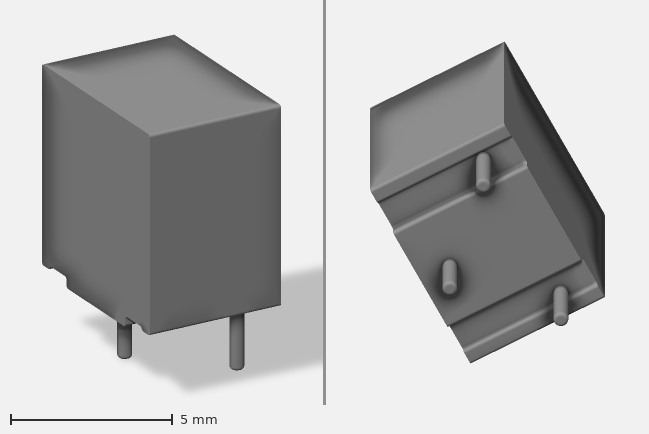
import cadquery as cq
import math

total_height = 8.87
body_width = 6.6
body_depth = 4.7

plinth_bottom = 1.89
foot_bottom = 2.13
recess_top = 2.25

half_width = body_width / 2
plinth_half_width = 1.8
foot_step_x = 2.8
edge_radius = 0.1

pin_diameter = 0.46
pin_tip_radius = 0.115
pin_pitch = 2.54
pin_row_offset = -0.05

step_rise = recess_top - foot_bottom
step_run = math.sqrt(step_rise * (4 * edge_radius - step_rise))
step_arc_half_angle = math.atan2(step_rise, step_run)


def make_half_housing():
    """Right half of the housing (X >= 0), extruded along Y."""
    step_inner_x = foot_step_x - step_run / 2
    step_outer_x = foot_step_x + step_run / 2
    step_middle = (foot_step_x, (recess_top + foot_bottom) / 2)
    arc_mid_run = edge_radius * math.sin(step_arc_half_angle)
    arc_mid_drop = edge_radius * (1 - math.cos(step_arc_half_angle))
    fillet_inset = edge_radius * (1 - math.sqrt(0.5))

    outline = (
        cq.Workplane("XZ", origin=(0, body_depth / 2, 0))
        .moveTo(0, plinth_bottom)
        .lineTo(plinth_half_width - edge_radius, plinth_bottom)
        .threePointArc(
            (plinth_half_width - fillet_inset, plinth_bottom + fillet_inset),
            (plinth_half_width, plinth_bottom + edge_radius),
        )
        .lineTo(plinth_half_width, recess_top - edge_radius)
        .threePointArc(
            (plinth_half_width + fillet_inset, recess_top - fillet_inset),
            (plinth_half_width + edge_radius, recess_top),
        )
        .lineTo(step_inner_x, recess_top)
        .threePointArc((step_inner_x + arc_mid_run, recess_top - arc_mid_drop), step_middle)
        .threePointArc(
            (step_outer_x - arc_mid_run, foot_bottom + arc_mid_drop),
            (step_outer_x, foot_bottom),
        )
        .lineTo(half_width - edge_radius, foot_bottom)
        .threePointArc(
            (half_width - fillet_inset, foot_bottom + fillet_inset),
            (half_width, foot_bottom + edge_radius),
        )
        .lineTo(half_width, total_height - edge_radius)
        .threePointArc(
            (half_width - fillet_inset, total_height - fillet_inset),
            (half_width - edge_radius, total_height),
        )
        .lineTo(0, total_height)
        .close()
    )
    return outline.extrude(body_depth)


def make_housing():
    """Complete housing, symmetric about the YZ plane."""
    half = make_half_housing()
    return half.union(half.mirror("YZ")).clean()


def make_pin(x, y, top):
    """Round pin with a rounded tip, from Z = 0 up to the housing face it butts against."""
    return (
        cq.Workplane("XY", origin=(x, y, 0))
        .circle(pin_diameter / 2)
        .extrude(top)
        .faces("<Z")
        .edges()
        .fillet(pin_tip_radius)
    )


housing = make_housing()

back_row_y = pin_row_offset + pin_pitch / 2
front_row_y = pin_row_offset - pin_pitch / 2
pin_places = [
    (-pin_pitch, back_row_y, recess_top),
    (pin_pitch, back_row_y, recess_top),
    (0, front_row_y, plinth_bottom),
]
pins = [make_pin(x, y, top) for x, y, top in pin_places]

result = cq.Compound.makeCompound([housing.val(), *[pin.val() for pin in pins]])